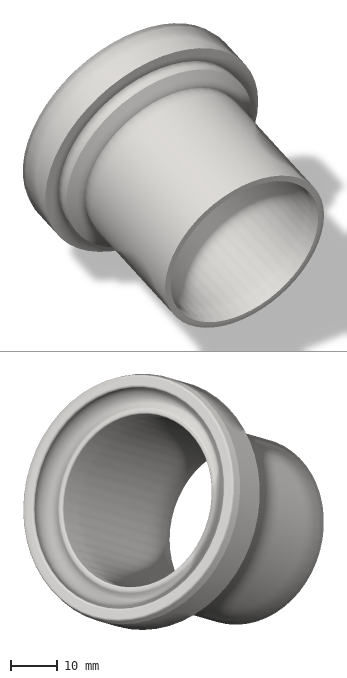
import cadquery as cq
import math

total_length = 47.0
flange_end = 10.0
shoulder_end = 13.0
cone_end = 15.0

flange_radius = 54.9 / 2
shoulder_radius = 48.0 / 2
tube_radius = 41.0 / 2

rim_taper_length = 2.0
rim_taper_angle = math.radians(15)
rim_round = 0.5

bore_radius = 38.0 / 2
bore_edge_round = 0.4
lip_depth = 3.6
lip_round = 1.0

face_inner_radius = 24.75
groove_edge_round = 0.5
groove_arc_radius = 2.5
groove_center_radius = 22.3


def on_arc(center, radius, angle):
    """Point on an arc; the angle runs from the +X direction toward larger radii."""
    return (center[0] + radius * math.cos(angle), center[1] + radius * math.sin(angle))


rim_slope = math.tan(rim_taper_angle)
rim_center_radius = (
    flange_radius
    - (rim_taper_length - rim_round) * rim_slope
    - rim_round / math.cos(rim_taper_angle)
)
rim_center = (rim_round, rim_center_radius)
rim_round_end_angle = math.pi / 2 + rim_taper_angle
rim_round_end = on_arc(rim_center, rim_round, rim_round_end_angle)
rim_round_middle = on_arc(rim_center, rim_round, (math.pi + rim_round_end_angle) / 2)

edge_center = (groove_edge_round, face_inner_radius)
edge_center_distance = groove_edge_round + groove_arc_radius
edge_angle = math.asin((face_inner_radius - groove_center_radius) / edge_center_distance)
groove_center_depth = groove_edge_round + edge_center_distance * math.cos(edge_angle)
groove_center = (groove_center_depth, groove_center_radius)
edge_joint = on_arc(edge_center, groove_edge_round, -edge_angle)
edge_middle = on_arc(edge_center, groove_edge_round, -(math.pi + edge_angle) / 2)
groove_bottom = on_arc(groove_center, groove_arc_radius, 0)

lip_center_depth = lip_depth + lip_round
lip_center_distance = groove_arc_radius + lip_round
lip_angle = math.acos((lip_center_depth - groove_center_depth) / lip_center_distance)
lip_center_radius = groove_center_radius - lip_center_distance * math.sin(lip_angle)
lip_center = (lip_center_depth, lip_center_radius)
lip_joint = on_arc(groove_center, groove_arc_radius, -lip_angle)
lip_middle = on_arc(lip_center, lip_round, math.pi - lip_angle / 2)

bore_edge_center = (lip_depth + bore_edge_round, bore_radius + bore_edge_round)
bore_edge_middle_angle = math.radians(225)
bore_edge_middle = on_arc(bore_edge_center, bore_edge_round, bore_edge_middle_angle)

half_section = (
    cq.Workplane("XY")
    .moveTo(total_length, bore_radius)
    .lineTo(total_length, tube_radius)
    .lineTo(cone_end, tube_radius)
    .lineTo(shoulder_end, shoulder_radius)
    .lineTo(flange_end, shoulder_radius)
    .lineTo(flange_end, flange_radius)
    .lineTo(rim_taper_length, flange_radius)
    .lineTo(*rim_round_end)
    .threePointArc(rim_round_middle, (0, rim_center_radius))
    .lineTo(0, face_inner_radius)
    .threePointArc(edge_middle, edge_joint)
    .threePointArc(groove_bottom, lip_joint)
    .threePointArc(lip_middle, (lip_depth, lip_center_radius))
    .lineTo(lip_depth, bore_edge_center[1])
    .threePointArc(bore_edge_middle, (bore_edge_center[0], bore_radius))
    .close()
)

result = half_section.revolve(360, (0, 0, 0), (1, 0, 0))